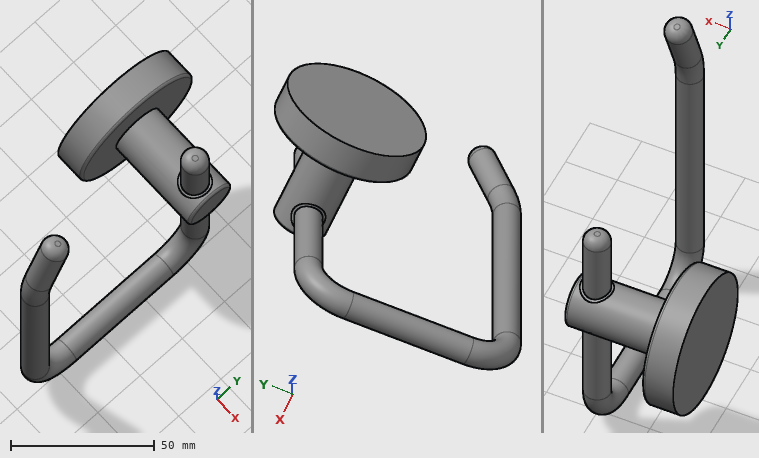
import cadquery as cq
import math

disc_diameter = 53.0
disc_thickness = 12.0
disc_edge_round = 1.0
post_diameter = 20.0
post_end_x = 50.0
post_end_round = 1.0

bushing_diameter = 12.0

rod_diameter = 10.0
rod_x = 42.0
rod_tip_round = 3.9
rod_top_z = 38.0
rod_bottom_z = -59.0
outer_leg_y = -75.9
corner_radius = 15.0
lean_start_z = 45.0
lean_radius = 35.0
lean_angle = 20.0
lean_length = 25.1


def post_cylinder():
    return cq.Workplane("YZ").circle(post_diameter / 2).extrude(post_end_x)


def upright_cylinder(diameter):
    """Cylinder along the held leg of the rod, longer than the post is wide."""
    return cq.Workplane("XY").center(rod_x, 0).circle(diameter / 2).extrude(post_diameter, both=True)


def make_mount():
    disc = cq.Workplane("YZ").circle(disc_diameter / 2).extrude(disc_thickness)
    disc = disc.faces(">X").edges().fillet(disc_edge_round)
    post = post_cylinder().faces(">X").edges().fillet(post_end_round)
    return disc.union(post).cut(upright_cylinder(bushing_diameter))


def make_bushing():
    sleeve = upright_cylinder(bushing_diameter).cut(upright_cylinder(rod_diameter))
    return sleeve.intersect(post_cylinder())


def make_rod():
    lean = math.radians(lean_angle)
    diagonal = corner_radius * math.sqrt(0.5)
    corner_z = rod_bottom_z + corner_radius
    inner_corner_y = -corner_radius
    outer_corner_y = outer_leg_y + corner_radius

    def lean_point(angle):
        y = outer_leg_y + lean_radius * (1 - math.cos(angle))
        z = lean_start_z + lean_radius * math.sin(angle)
        return y, z

    lean_end_y, lean_end_z = lean_point(lean)
    tip_y = lean_end_y + lean_length * math.sin(lean)
    tip_z = lean_end_z + lean_length * math.cos(lean)

    path = (
        cq.Workplane("YZ", origin=(rod_x, 0, 0))
        .moveTo(0, rod_top_z)
        .lineTo(0, corner_z)
        .threePointArc((inner_corner_y + diagonal, corner_z - diagonal), (inner_corner_y, rod_bottom_z))
        .lineTo(outer_corner_y, rod_bottom_z)
        .threePointArc((outer_corner_y - diagonal, corner_z - diagonal), (outer_leg_y, corner_z))
        .lineTo(outer_leg_y, lean_start_z)
        .threePointArc(lean_point(lean / 2), (lean_end_y, lean_end_z))
        .lineTo(tip_y, tip_z)
    )
    rod = cq.Workplane("XY", origin=(rod_x, 0, rod_top_z)).circle(rod_diameter / 2).sweep(path)

    return rod.faces("%PLANE").edges().fillet(rod_tip_round)


mount = make_mount()
bushing = make_bushing()
rod = make_rod()

result = cq.Compound.makeCompound([mount.solids().val(), bushing.solids().val(), rod.solids().val()])